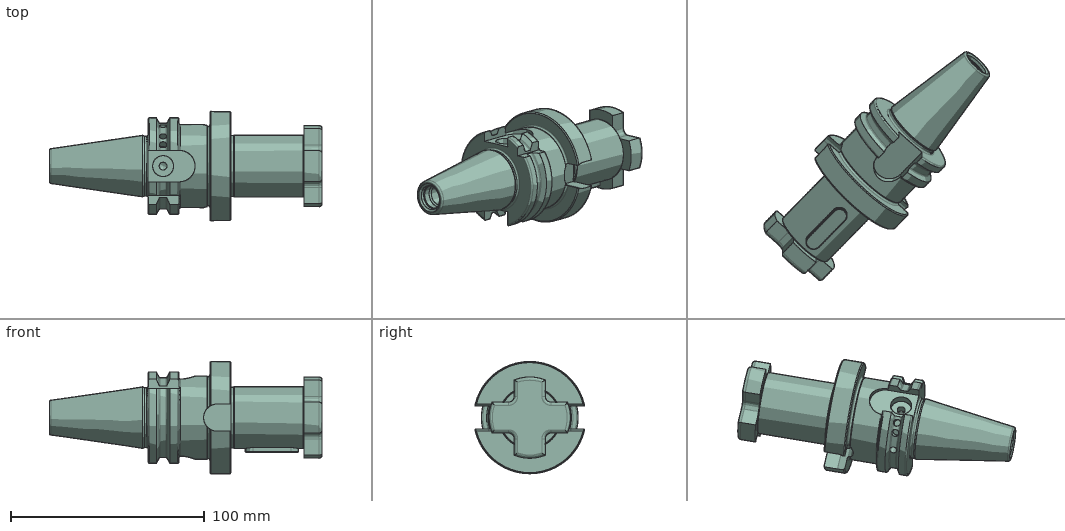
import cadquery as cq
import math


gauge_radius = 31.75 / 2
taper_slope = 7 / 48
taper_length = 47.8
taper_relief_start = 0.4
neck_radius = 15.5
neck_start = 1.2
neck_fillet = 0.9
shank_end_fillet = 1.0

bore_mouth_radius = 7.5
bore_recess_radius = 6.3
bore_recess_depth = 2.4
bore_entry_radius = 5.9
bore_entry_depth = 6.2
bore_thread_radius = 5.1
bore_depth = 33.5
bore_mouth_depth = 0.7

flange_radius = 25.0
flange_start = 3.2
flange_end = 19.1
flange_fillet = 0.8
groove_center = 10.9
groove_floor_radius = 22.15
groove_floor_width = 3.75
groove_flank_angle = 30
groove_corner_fillet = 0.6

body_radius = 21.5
body_relief_radius = 21.1
body_relief_length = 1.5
body_relief_fillet = 1.05

collar_radius = 29.0
collar_start = 35.0
collar_end = 46.0
collar_chamfer = 0.6
pilot_radius = 16.0
pilot_end = 83.6
pilot_chamfer = 0.5
pilot_relief_radius = 15.8
pilot_relief_length = 1.8
pilot_relief_run_out = 0.6

keyway_half_width = 8.1
keyway_end = 27.4
upper_keyway_floor = 18.7
lower_keyway_floor = 16.1
keyway_hole_radius = 5.4
keyway_hole_depth = 4.0
keyway_pilot_radius = 2.0
keyway_pilot_depth = 4.0
drill_tip_angle = 118

notch_offset = 15.1
notch_end = 19.7

groove_hole_angles = (30, 44, 69)
groove_hole_diameter = 3.6
groove_hole_depth = 5.0

collar_slot_half_width = 7.0
collar_slot_end = 31.8
collar_slot_floor = 15.0

key_start = 53.2
key_end = 80.8
key_width = 8.0
key_outer_radius = 18.0
key_height = 7.0
key_chamfer = 0.4

head_radius = 21.0
head_end = 93.0
head_arm_width = 16.0
head_corner_fillet = 3.0
head_edge_fillet = 1.7


def taper_radius(x):
    return gauge_radius + taper_slope * x


def revolved(profile):
    return profile.close().revolve(360, (0, 0, 0), (1, 0, 0))


def rod(radius, start, end):
    """A cylinder along the X axis."""
    return cq.Workplane("YZ", origin=(start, 0, 0)).circle(radius).extrude(end - start)


def fillet_circles(solid, circles, fillet_radius):
    """Round the circular edges given as pairs of X position and radius."""
    tolerance = 1e-4
    edges = solid.edges("%CIRCLE").filter(
        lambda edge: any(
            abs(edge.Center().x - x) < tolerance and abs(edge.radius() - radius) < tolerance
            for x, radius in circles
        )
    )
    return edges.fillet(fillet_radius)


def arbor_blank():
    flank = (flange_radius - groove_floor_radius) * math.tan(math.radians(groove_flank_angle))
    floor_half = groove_floor_width / 2
    mouth_half = floor_half + flank
    shank_end = -taper_length
    collar_face_radius = collar_radius - collar_chamfer
    relief_start = collar_start - body_relief_length
    relief_end = collar_end + pilot_relief_length
    profile = (
        cq.Workplane("XY")
        .moveTo(shank_end, 0)
        .lineTo(shank_end, taper_radius(shank_end))
        .lineTo(taper_relief_start, taper_radius(taper_relief_start))
        .lineTo(neck_start, neck_radius)
        .lineTo(flange_start, neck_radius)
        .lineTo(flange_start, flange_radius)
        .lineTo(groove_center - mouth_half, flange_radius)
        .lineTo(groove_center - floor_half, groove_floor_radius)
        .lineTo(groove_center + floor_half, groove_floor_radius)
        .lineTo(groove_center + mouth_half, flange_radius)
        .lineTo(flange_end, flange_radius)
        .lineTo(flange_end, body_radius)
        .lineTo(relief_start, body_radius)
        .lineTo(relief_start + body_radius - body_relief_radius, body_relief_radius)
        .lineTo(collar_start, body_relief_radius)
        .lineTo(collar_start, collar_face_radius)
        .lineTo(collar_start + collar_chamfer, collar_radius)
        .lineTo(collar_end - collar_chamfer, collar_radius)
        .lineTo(collar_end, collar_face_radius)
        .lineTo(collar_end, pilot_relief_radius)
        .lineTo(relief_end - pilot_relief_run_out, pilot_relief_radius)
        .lineTo(relief_end, pilot_radius)
        .lineTo(pilot_end - pilot_chamfer, pilot_radius)
        .lineTo(pilot_end, pilot_radius - pilot_chamfer)
        .lineTo(pilot_end, 0)
    )
    blank = revolved(profile).faces("<X").edges().fillet(shank_end_fillet)
    rims = [(flange_start, flange_radius), (flange_end, flange_radius), (flange_end, body_radius)]
    blank = fillet_circles(blank, rims, flange_fillet)
    blank = fillet_circles(blank, [(flange_start, neck_radius)], neck_fillet)
    blank = fillet_circles(blank, [(collar_start, body_relief_radius)], body_relief_fillet)
    groove_corners = [(groove_center + side * floor_half, groove_floor_radius) for side in (1, -1)]
    return fillet_circles(blank, groove_corners, groove_corner_fillet)


def drawbar_bore():
    mouth = -taper_length
    recess_end = mouth + bore_recess_depth
    recess_step_end = recess_end + bore_recess_radius - bore_entry_radius
    entry_end = mouth + bore_entry_depth
    thread_start = entry_end + bore_entry_radius - bore_thread_radius
    bottom = mouth + bore_depth
    profile = (
        cq.Workplane("XY")
        .moveTo(mouth, 0)
        .lineTo(mouth, bore_mouth_radius)
        .lineTo(mouth + bore_mouth_depth, bore_recess_radius)
        .lineTo(recess_end, bore_recess_radius)
        .lineTo(recess_step_end, bore_entry_radius)
        .lineTo(entry_end, bore_entry_radius)
        .lineTo(thread_start, bore_thread_radius)
        .lineTo(bottom, bore_thread_radius)
        .lineTo(bottom, 0)
    )
    return revolved(profile)


def keyway(floor, side):
    """A keyway open at the flange front, above (side 1) or below (side -1) the axis."""
    arc_center = keyway_end - keyway_half_width
    return (
        cq.Workplane("XY", origin=(0, 0, side * floor))
        .moveTo(flange_start, -keyway_half_width)
        .lineTo(arc_center, -keyway_half_width)
        .threePointArc((keyway_end, 0), (arc_center, keyway_half_width))
        .lineTo(flange_start, keyway_half_width)
        .close()
        .extrude(side * (flange_radius - floor))
    )


def keyway_hole():
    """A flat-bottomed hole in the upper keyway with a smaller drilled hole in its floor."""
    hole_floor = upper_keyway_floor - keyway_hole_depth
    drill_floor = hole_floor - keyway_pilot_depth
    tip = drill_floor - keyway_pilot_radius / math.tan(math.radians(drill_tip_angle / 2))
    return (
        cq.Workplane("XZ")
        .moveTo(0, upper_keyway_floor)
        .lineTo(keyway_hole_radius, upper_keyway_floor)
        .lineTo(keyway_hole_radius, hole_floor)
        .lineTo(keyway_pilot_radius, hole_floor)
        .lineTo(keyway_pilot_radius, drill_floor)
        .lineTo(0, tip)
        .close()
        .revolve(360, (0, 0, 0), (0, 1, 0))
        .translate((groove_center, 0, 0))
    )


def corner_notch():
    size = flange_radius - notch_offset
    length = notch_end - flange_start
    return cq.Workplane("XY").box(length, size, size, centered=False).translate(
        (flange_start, -flange_radius, notch_offset)
    )


def groove_hole(angle):
    """A hole in the groove floor, drilled towards the axis and tilted from +Z towards +Y."""
    hole_bottom = groove_floor_radius - groove_hole_depth
    return (
        cq.Workplane("XY", origin=(groove_center, 0, hole_bottom))
        .circle(groove_hole_diameter / 2)
        .extrude(flange_radius - hole_bottom)
        .rotate((0, 0, 0), (1, 0, 0), -angle)
    )


def collar_slot(side):
    """A slot open at the collar's pilot face, on the +Y (side 1) or -Y (side -1) flank."""
    arc_center = collar_slot_end + collar_slot_half_width
    return (
        cq.Workplane("XZ", origin=(0, side * collar_slot_floor, 0))
        .moveTo(collar_end, -collar_slot_half_width)
        .lineTo(arc_center, -collar_slot_half_width)
        .threePointArc((collar_slot_end, 0), (arc_center, collar_slot_half_width))
        .lineTo(collar_end, collar_slot_half_width)
        .close()
        .extrude(-side * (collar_radius - collar_slot_floor))
    )


def key_blank():
    """The feather key before its outer edges are broken, also the shape of its seat."""
    return (
        cq.Workplane("XY", origin=((key_start + key_end) / 2, 0, -key_outer_radius))
        .slot2D(key_end - key_start, key_width)
        .extrude(key_height)
    )


def make_arbor():
    arbor = arbor_blank()
    arbor = arbor.cut(drawbar_bore())
    arbor = arbor.cut(keyway(upper_keyway_floor, 1))
    arbor = arbor.cut(keyway(lower_keyway_floor, -1))
    arbor = arbor.cut(keyway_hole())
    arbor = arbor.cut(corner_notch())
    for angle in groove_hole_angles:
        arbor = arbor.cut(groove_hole(angle))
    for side in (1, -1):
        arbor = arbor.cut(collar_slot(side))
    return arbor.cut(key_blank())


def make_feather_key():
    return key_blank().faces("<Z").edges().chamfer(key_chamfer)


def make_screw_head():
    """A round head cut into four arms, seated on the end of the pilot."""
    thickness = head_end - pilot_end
    arm_plane = cq.Workplane("YZ", origin=(pilot_end, 0, 0))
    span = 2 * head_radius
    cross = arm_plane.rect(span, head_arm_width).extrude(thickness)
    cross = cross.union(arm_plane.rect(head_arm_width, span).extrude(thickness))
    inside = (head_arm_width + head_radius) / 2
    inner_corners = cq.selectors.BoxSelector((pilot_end, -inside, -inside), (head_end, inside, inside))
    cross = cross.edges("|X").edges(inner_corners).fillet(head_corner_fillet)
    head = cross.intersect(rod(head_radius, pilot_end, head_end))
    return head.faces(">X").edges().fillet(head_edge_fillet)


arbor = make_arbor()
feather_key = make_feather_key()
screw_head = make_screw_head()

result = cq.Compound.makeCompound([arbor.val(), feather_key.val(), screw_head.val()])